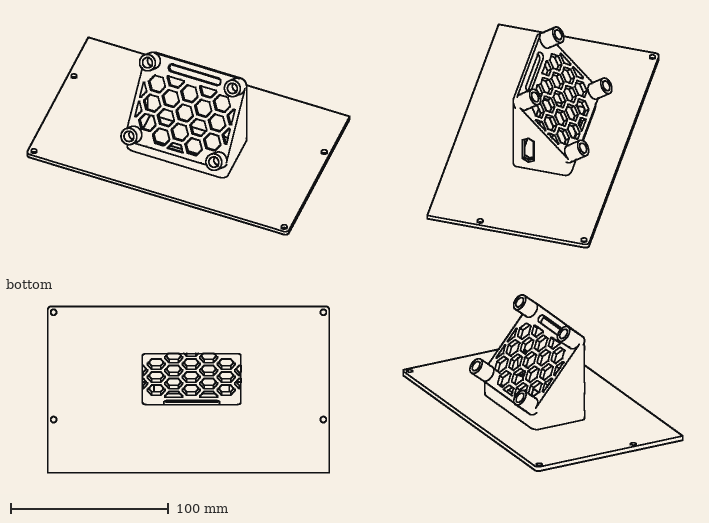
import cadquery as cq
import math

PLATE_X = 178.6
PLATE_Y = 105.55
PLATE_T = 3.0
PLATE_CORNER_R = 2.5
MOUNT_HOLE_D = 3.6
MOUNT_HOLE_INSET = 3.8
MOUNT_HOLE_PITCH_Y = 68.0

TILT = math.radians(50)
STANDOFF_PITCH_X = 58.0
STANDOFF_PITCH_V = 49.0
STANDOFF_D = 10.5
STANDOFF_BORE_D = 6.5
STANDOFF_H = 11.0
PANEL_T = 3.0
PANEL_X = STANDOFF_PITCH_X + STANDOFF_D
PANEL_V = STANDOFF_PITCH_V + STANDOFF_D
CORNER_R = STANDOFF_D / 2

WALL = 3.0
HOUSING_MID_X = 2.0
HOUSING_BACK_Y = 12.5
HOUSING_FRONT_H = 9.1
HOUSING_Y = PANEL_V * math.cos(TILT)
HOUSING_RISE = PANEL_V * math.sin(TILT)
HOUSING_FRONT_Y = HOUSING_BACK_Y - HOUSING_Y
HOUSING_FRONT_Z = PLATE_T + HOUSING_FRONT_H
HOUSING_BACK_Z = HOUSING_FRONT_Z + HOUSING_RISE
HOUSING_MID_Y = (HOUSING_FRONT_Y + HOUSING_BACK_Y) / 2
HOUSING_MID_Z = (HOUSING_FRONT_Z + HOUSING_BACK_Z) / 2

HEX_ACROSS_FLATS = 10.0
HEX_HALF_ANGLE = math.radians(30)
HEX_PITCH = 12.8
HEX_CENTRE_X = -0.3
HEX_CENTRE_V = -1.8
HEX_COLUMNS = 3
HEX_ROWS = 3
HEX_KEEP_OUT = STANDOFF_D
GRILLE_TOP_V = 18.0
GRILLE_BOTTOM_V = WALL - PANEL_V / 2
GRILLE_X = PANEL_X - 2 * WALL

CABLE_SLOT_LENGTH = 35.5
CABLE_SLOT_D = 5.0
CABLE_SLOT_V = 23.7

PORT_OUTER_R = 4.5
PORT_INNER_R = 3.5
PORT_CHAMFER_DEPTH = 1.0
PORT_CENTRE_SPACING = 12.0
PORT_BACK_OFFSET = 11.1
PORT_MID_H = 16.4


def panel_plane(height=0.0):
    """Workplane parallel to the panel, raised by height above the panel's underside."""
    normal = cq.Vector(0, -math.sin(TILT), math.cos(TILT))
    origin = cq.Vector(HOUSING_MID_X, HOUSING_MID_Y, HOUSING_MID_Z) + normal * height
    return cq.Workplane(cq.Plane(origin=origin, xDir=(1, 0, 0), normal=normal))


def make_plate():
    plate = cq.Workplane("XY").box(PLATE_X, PLATE_Y, PLATE_T, centered=(True, True, False))
    plate = plate.edges("|Z and <Y").fillet(PLATE_CORNER_R)
    hole_x = PLATE_X / 2 - MOUNT_HOLE_INSET
    front_y = MOUNT_HOLE_INSET - PLATE_Y / 2
    back_y = front_y + MOUNT_HOLE_PITCH_Y
    hole_points = [(x, y) for x in (-hole_x, hole_x) for y in (front_y, back_y)]
    holes = cq.Workplane("XY").pushPoints(hole_points).circle(MOUNT_HOLE_D / 2).extrude(PLATE_T)
    return plate.cut(holes)


def rounded_column(inset):
    """Upright column on the panel's rounded outline projected straight down, with its sides inset."""
    length_x = PANEL_X - 2 * inset
    length_y = HOUSING_Y - 2 * inset
    corner_x = CORNER_R - inset
    corner_y = corner_x * math.cos(TILT)
    straight_x = length_x - 2 * corner_x
    straight_y = length_y - 2 * corner_y
    base = cq.Workplane("XY", origin=(HOUSING_MID_X, HOUSING_MID_Y, 0))
    corners = base.rect(straight_x, straight_y, forConstruction=True).vertices()
    column = base.rect(length_x, straight_y).extrude(HOUSING_BACK_Z)
    column = column.union(base.rect(straight_x, length_y).extrude(HOUSING_BACK_Z))
    return column.union(corners.ellipse(corner_x, corner_y).extrude(HOUSING_BACK_Z))


def wedge(inset):
    """Rounded column cut off along the panel's underside."""
    profile = [
        (HOUSING_FRONT_Y, 0),
        (HOUSING_BACK_Y, 0),
        (HOUSING_BACK_Y, HOUSING_BACK_Z),
        (HOUSING_FRONT_Y, HOUSING_FRONT_Z),
    ]
    side = cq.Workplane("YZ", origin=(HOUSING_MID_X - PANEL_X / 2, 0, 0))
    below_panel = side.polyline(profile).close().extrude(PANEL_X)
    return rounded_column(inset).intersect(below_panel)


def make_panel():
    """Tilted sheet whose corners are concentric with the standoffs."""
    underside = panel_plane()
    along_normal = cq.selectors.ParallelDirSelector(underside.plane.zDir)
    panel = underside.rect(PANEL_X, PANEL_V).extrude(PANEL_T)
    return panel.edges(along_normal).fillet(CORNER_R)


def standoff_cylinders(diameter, bottom):
    """Four cylinders at the standoff positions, from a height up to the standoff tops."""
    return (
        panel_plane(bottom)
        .rect(STANDOFF_PITCH_X, STANDOFF_PITCH_V, forConstruction=True)
        .vertices()
        .circle(diameter / 2)
        .extrude(PANEL_T + STANDOFF_H - bottom)
    )


def make_grille():
    """Staggered hexagonal cells clear of the standoffs, trimmed to the grille window."""
    column_pitch = HEX_PITCH * math.cos(HEX_HALF_ANGLE)
    centres = []
    for column in range(-HEX_COLUMNS, HEX_COLUMNS + 1):
        stagger = HEX_PITCH / 2 * (column % 2)
        for row in range(-HEX_ROWS, HEX_ROWS + 1):
            x = HEX_CENTRE_X + column * column_pitch
            v = HEX_CENTRE_V + row * HEX_PITCH + stagger
            to_standoff = math.hypot(abs(x) - STANDOFF_PITCH_X / 2, abs(v) - STANDOFF_PITCH_V / 2)
            if to_standoff > HEX_KEEP_OUT:
                centres.append((x, v))
    across_corners = HEX_ACROSS_FLATS / math.cos(HEX_HALF_ANGLE)
    cells = panel_plane().pushPoints(centres).polygon(6, across_corners).extrude(PANEL_T)
    window = (
        panel_plane()
        .center(0, (GRILLE_TOP_V + GRILLE_BOTTOM_V) / 2)
        .rect(GRILLE_X, GRILLE_TOP_V - GRILLE_BOTTOM_V)
        .extrude(PANEL_T)
    )
    return cells.intersect(window)


def make_cable_slot():
    return panel_plane().center(0, CABLE_SLOT_V).slot2D(CABLE_SLOT_LENGTH, CABLE_SLOT_D).extrude(PANEL_T)


def port_outline(radius):
    """Upright elongated hexagon, listed as (Y, Z) points about the port centre."""
    half_width = radius * math.cos(HEX_HALF_ANGLE)
    shoulder = PORT_CENTRE_SPACING / 2 + radius / 2
    tip = PORT_CENTRE_SPACING / 2 + radius
    return [
        (half_width, -shoulder),
        (half_width, shoulder),
        (0, tip),
        (-half_width, shoulder),
        (-half_width, -shoulder),
        (0, -tip),
    ]


def make_port():
    outer_x = HOUSING_MID_X - PANEL_X / 2
    centre = (outer_x, HOUSING_BACK_Y - PORT_BACK_OFFSET, PLATE_T + PORT_MID_H)
    face = cq.Workplane("YZ", origin=centre)
    mouth = (
        face.polyline(port_outline(PORT_OUTER_R))
        .close()
        .workplane(offset=PORT_CHAMFER_DEPTH)
        .polyline(port_outline(PORT_INNER_R))
        .close()
        .loft(ruled=True)
    )
    throat = face.polyline(port_outline(PORT_INNER_R)).close().extrude(WALL)
    return mouth.union(throat)


housing = wedge(0)
cavity = wedge(WALL)
standoffs = standoff_cylinders(STANDOFF_D, 0)
bores = standoff_cylinders(STANDOFF_BORE_D, PANEL_T)

body = make_plate().union(housing).cut(cavity)
body = body.union(make_panel()).union(standoffs).cut(bores)
result = body.cut(make_grille()).cut(make_cable_slot()).cut(make_port())